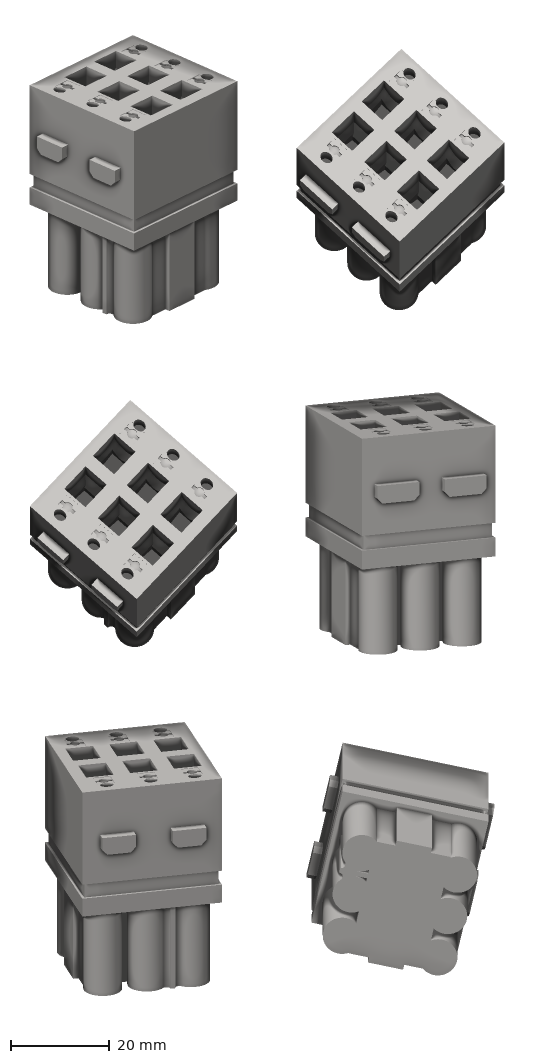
import cadquery as cq
import math

WIDTH = 29.2
DEPTH = 30.27
HEIGHT = 45.8
FLANGE_BOTTOM = 18.5
FLANGE_TOP = 22.45
BODY_BOTTOM = 25.5
NECK_INSET = 0.55

LUG_PITCH = 14.75
LUG_REACH = 1.8
LUG_BOTTOM = 32.35
LUG_TOP = 36.1
LUG_CHAMFER = 1.1
FRONT_LUG_WIDTH = 7.05
BACK_LUG_WIDTH = 9.15

PITCH = 9.2
ROW_SHIFT = 0.2
INNER_SHIFT = 0.39

SLEEVE_RADIUS = 3.95
SLEEVE_ROW_Y = 10.0
CORE_HALF_X = 12.45
CORE_HALF_Y = 7.8
RIB_FACE_X = 13.55
RIB_WIDTH = 7.35
KEY_WIDTH = 1.05
KEY_FACE_Y = -13.55
KEY_FILLET = 0.82

MOUTH_WIDTH = 5.75
MOUTH_NEAR_Y = 1.35
MOUTH_FAR_Y = 7.75
FUNNEL_TAPER = 30.0
FUNNEL_DEPTH = 5.8
FUNNEL_END_DEPTH = 8.7
WELL_WIDTH = 3.9
WELL_NEAR_Y = 2.95
WELL_FAR_Y = 6.3
WELL_DEPTH = 10.08
WELL_FLOOR_TILT = 24.0

PANEL_SIZE = 3.6
PANEL_Y = 10.1
PANEL_DEPTH = 0.1
RECESS_RADIUS = 1.0
RECESS_SLOT_WIDTH = 0.75
RECESS_DEPTH = 0.5
OVAL_LENGTH = 2.75
OVAL_WIDTH = 2.2
OVAL_Y = 12.4
OVAL_DEPTH = 3.65


def block(x0, x1, y0, y1, z0, z1):
    return cq.Workplane("XY").box(x1 - x0, y1 - y0, z1 - z0, centered=False).translate((x0, y0, z0))


def centred_block(width, depth, z0, z1):
    return block(-width / 2, width / 2, -depth / 2, depth / 2, z0, z1)


def half_turn(shape):
    return shape.rotate((0, 0, 0), (0, 0, 1), 180)


def column_positions(shift):
    return [shift - PITCH, shift, shift + PITCH]


def make_housing():
    flange = centred_block(WIDTH, DEPTH, FLANGE_BOTTOM, FLANGE_TOP)
    neck = centred_block(WIDTH - 2 * NECK_INSET, DEPTH - 2 * NECK_INSET, FLANGE_TOP, BODY_BOTTOM)
    body = centred_block(WIDTH, DEPTH, BODY_BOTTOM, HEIGHT)
    return flange.union(neck).union(body)


def make_lug_pair(lug_width):
    """Two lugs on the +Y wall, with their lower corners cut off."""
    lugs = cq.Workplane("XY")
    for x in (-LUG_PITCH / 2, LUG_PITCH / 2):
        left = x - lug_width / 2
        lug = block(left, left + lug_width, DEPTH / 2, DEPTH / 2 + LUG_REACH, LUG_BOTTOM, LUG_TOP)
        lugs = lugs.add(lug.edges("|Y and <Z").chamfer(LUG_CHAMFER))
    return lugs.combine()


def make_key():
    """Coding key between the middle and right front sleeves, filleted into both of them."""
    key_x = ROW_SHIFT + PITCH / 2
    left = key_x - KEY_WIDTH / 2
    key = block(left, left + KEY_WIDTH, KEY_FACE_Y, -CORE_HALF_Y, 0, FLANGE_BOTTOM)
    for side in (-1, 1):
        sleeve_x = key_x + side * PITCH / 2
        flank_x = key_x + side * KEY_WIDTH / 2
        fillet_x = flank_x + side * KEY_FILLET
        fillet_y = -SLEEVE_ROW_Y - math.sqrt((SLEEVE_RADIUS + KEY_FILLET) ** 2 - (fillet_x - sleeve_x) ** 2)
        corner = [
            (sleeve_x, -SLEEVE_ROW_Y),
            (fillet_x, fillet_y),
            (flank_x, fillet_y),
            (flank_x, -SLEEVE_ROW_Y),
        ]
        web = cq.Workplane("XY").polyline(corner).close().extrude(FLANGE_BOTTOM)
        fillet = cq.Workplane("XY").center(fillet_x, fillet_y).circle(KEY_FILLET).extrude(FLANGE_BOTTOM)
        key = key.union(web.cut(fillet))
    return key


def make_sleeves():
    core = centred_block(2 * CORE_HALF_X, 2 * CORE_HALF_Y, 0, FLANGE_BOTTOM)
    ribs = centred_block(2 * RIB_FACE_X, RIB_WIDTH, 0, FLANGE_BOTTOM)
    centres = [(x, SLEEVE_ROW_Y) for x in column_positions(-ROW_SHIFT)]
    row = cq.Workplane("XY").pushPoints(centres).circle(SLEEVE_RADIUS).extrude(FLANGE_BOTTOM)
    return core.union(ribs).union(row).union(half_turn(row)).union(make_key())


def make_inlet():
    """Void of one +Y row inlet, with the mouth centred on X = 0."""
    half_width = MOUTH_WIDTH / 2
    axis_y = MOUTH_FAR_Y - half_width
    slope = math.tan(math.radians(FUNNEL_TAPER))

    top_radius = half_width * math.sqrt(2)
    flare = top_radius - half_width
    start_depth = FUNNEL_DEPTH - flare / slope
    near_y = MOUTH_NEAR_Y - flare
    funnel = (
        cq.Workplane("XY", origin=(0, 0, HEIGHT - start_depth))
        .moveTo(-top_radius, axis_y)
        .lineTo(-top_radius, near_y)
        .lineTo(top_radius, near_y)
        .lineTo(top_radius, axis_y)
        .threePointArc((0, axis_y + top_radius), (-top_radius, axis_y))
        .close()
        .extrude(start_depth - FUNNEL_END_DEPTH, taper=FUNNEL_TAPER)
    )
    shaft = block(-half_width, half_width, MOUTH_NEAR_Y, MOUTH_FAR_Y, HEIGHT - FUNNEL_END_DEPTH, HEIGHT)
    mouth = block(-half_width, half_width, MOUTH_NEAR_Y, MOUTH_FAR_Y, HEIGHT - start_depth, HEIGHT)

    slope_end_depth = FUNNEL_DEPTH + (WELL_NEAR_Y - MOUTH_NEAR_Y) / slope
    rise = (WELL_FAR_Y - WELL_NEAR_Y) / 2 * math.tan(math.radians(WELL_FLOOR_TILT))
    well_x = ROW_SHIFT - INNER_SHIFT
    well = (
        cq.Workplane("YZ", origin=(well_x - WELL_WIDTH / 2, 0, HEIGHT))
        .moveTo(MOUTH_NEAR_Y, -FUNNEL_DEPTH)
        .lineTo(WELL_FAR_Y, -FUNNEL_DEPTH)
        .lineTo(WELL_FAR_Y, rise - WELL_DEPTH)
        .lineTo(WELL_NEAR_Y, -rise - WELL_DEPTH)
        .lineTo(WELL_NEAR_Y, -slope_end_depth)
        .close()
        .extrude(WELL_WIDTH)
    )
    return funnel.intersect(shaft).union(mouth).union(well)


def make_actuator():
    """Void of one +Y row actuator, centred on X = 0."""
    top = cq.Workplane("XY", origin=(0, 0, HEIGHT))
    panel = top.center(0, PANEL_Y).rect(PANEL_SIZE, PANEL_SIZE).extrude(-PANEL_DEPTH)
    disc = top.center(0, PANEL_Y).circle(RECESS_RADIUS).extrude(-RECESS_DEPTH)
    slot = top.center(0, PANEL_Y).rect(PANEL_SIZE, RECESS_SLOT_WIDTH).extrude(-RECESS_DEPTH)
    oval = top.center(0, OVAL_Y).ellipse(OVAL_LENGTH / 2, OVAL_WIDTH / 2).extrude(-OVAL_DEPTH)
    return panel.union(disc).union(slot).union(oval)


result = make_housing().union(make_sleeves())
result = result.union(make_lug_pair(BACK_LUG_WIDTH)).union(half_turn(make_lug_pair(FRONT_LUG_WIDTH)))

inlet = make_inlet()
for column_x in column_positions(-ROW_SHIFT):
    void = inlet.translate((column_x, 0, 0))
    result = result.cut(void).cut(half_turn(void))

actuator = make_actuator()
for column_x in column_positions(-INNER_SHIFT):
    void = actuator.translate((column_x, 0, 0))
    result = result.cut(void).cut(half_turn(void))